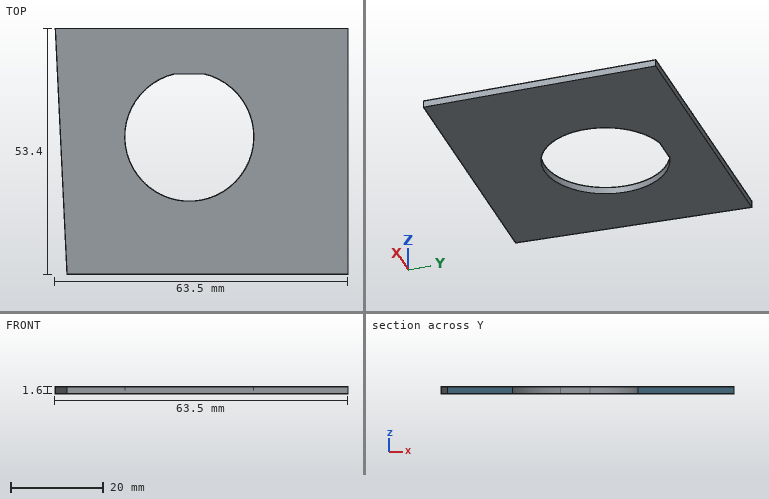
import cadquery as cq

length = 63.5
width = 53.35
thickness = 1.6
left_edge_slant = 2.55

hole_x = 29.1
hole_y = 29.85
hole_radius = 14.0
flat_offset = 13.6


def make_plate():
    corners = [(left_edge_slant, 0), (length, 0), (length, width), (0, width)]
    return cq.Workplane("XY").polyline(corners).close().extrude(thickness)


def make_opening():
    cylinder = cq.Workplane("XY").center(hole_x, hole_y).circle(hole_radius).extrude(thickness)
    trim_depth = hole_radius + flat_offset
    trim_box = cq.Workplane("XY").box(
        2 * hole_radius, trim_depth, thickness, centered=(True, False, False)
    ).translate((hole_x, hole_y - hole_radius, 0))
    return cylinder.intersect(trim_box)


result = make_plate().cut(make_opening())